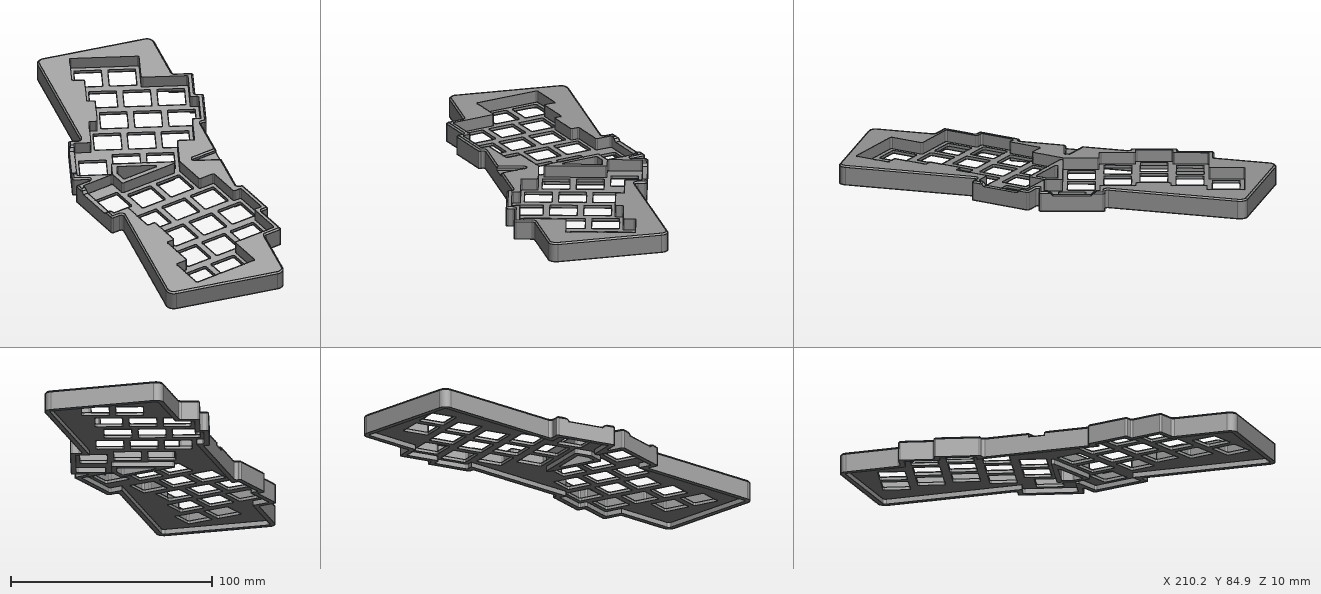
import cadquery as cq
import math

case_length = 210.15
case_rear = 33.1
case_front = -28.0
case_height = 10.0
case_corner_radius = 4.0
rim_chamfer = 0.8

half_angle = 15.0
key_pitch_u = 18.0
key_pitch_v = 17.0
thumb_key_width = 1.5 * key_pitch_u
first_column_u = 12.5
thumb_row_v = -30.5
columns = [
    (2, key_pitch_v),
    (3, 0.5 * key_pitch_v),
    (3, 0.75 * key_pitch_v),
    (3, 0.5 * key_pitch_v),
    (2, 0.125 * key_pitch_v),
]
thumb_u = first_column_u + (key_pitch_u - thumb_key_width) / 2

key_clearance = 0.3
wall = 2.5
tray_floor = 4.0
plate_thickness = 1.5
tray_corner_radius = 0.8
wall_corner_radius = 0.85
blend_radius = 1.5

switch_size = 13.8
switch_corner_radius = 0.8

window_radius = 0.8
groove_tip_radius = 0.8
groove_tip_y = 19.7
groove_depth = 2.0

dip_depth = 1.9
dip_floor_length = 19.0

overshoot = 1.0
tolerance = 0.01


def both_halves(half):
    """Turn a right-half solid into place and add its mirror image."""
    placed = half.rotate((0, 0, 0), (0, 0, 1), half_angle)
    return placed.union(placed.mirror("YZ")).clean()


def column_positions():
    """Across position, lowest key position and key count of every column."""
    positions = []
    for index, (count, lowest) in enumerate(columns):
        positions.append((first_column_u + index * key_pitch_u, thumb_row_v + lowest, count))
    return positions


def key_centres():
    centres = [(thumb_u, thumb_row_v)]
    for u, lowest_v, count in column_positions():
        for row in range(count):
            centres.append((u, lowest_v + row * key_pitch_v))
    return centres


def key_field(margin, base, height, radius):
    """Solid over the key cells, grown by a margin and rounded at its upright edges."""

    def cell(u, v, width, length):
        size = (width + 2 * margin, length + 2 * margin, height)
        return cq.Workplane("XY").box(*size, centered=(True, True, False)).translate((u, v, base))

    field = cell(thumb_u, thumb_row_v, thumb_key_width, key_pitch_v)
    for u, lowest_v, count in column_positions():
        middle_v = lowest_v + (count - 1) * key_pitch_v / 2
        field = field.union(cell(u, middle_v, key_pitch_u, count * key_pitch_v))
    return both_halves(field.clean()).edges("|Z").fillet(radius)


def case_body(inset, height, field_radius):
    """Case plate joined to the key fields, with all upright faces moved inward by an inset."""
    length = case_length - 2 * inset
    width = case_rear - case_front - 2 * inset
    plate = (
        cq.Workplane("XY")
        .box(length, width, height, centered=(True, True, False))
        .translate((0, (case_rear + case_front) / 2, 0))
        .edges("|Z")
        .fillet(case_corner_radius - inset)
    )
    return plate.union(key_field(key_clearance + wall - inset, 0, height, field_radius)).clean()


def outer_block():
    """Case body with the inside corners blended where the key fields leave the plate."""
    body = case_body(0, case_height, wall_corner_radius)
    reach = case_length / 2 - case_corner_radius - overshoot
    for y in (case_rear, case_front):
        band = cq.selectors.BoxSelector(
            (-reach, y - tolerance, -overshoot),
            (reach, y + tolerance, case_height + overshoot),
        )
        body = body.edges("|Z").edges(band).fillet(blend_radius)
    return body


def rear_groove():
    """V-shaped groove with a round tip, open at the rear edge."""
    slope = math.radians(half_angle)
    tip_side_x = groove_tip_radius * math.cos(slope)
    tip_side_y = groove_tip_y + groove_tip_radius * (1 - math.sin(slope))
    end_y = case_rear + overshoot
    end_x = tip_side_x + (end_y - tip_side_y) * math.tan(slope)
    return (
        cq.Workplane("XY", origin=(0, 0, case_height - groove_depth))
        .moveTo(-end_x, end_y)
        .lineTo(-tip_side_x, tip_side_y)
        .threePointArc((0, groove_tip_y), (tip_side_x, tip_side_y))
        .lineTo(end_x, end_y)
        .close()
        .extrude(groove_depth + overshoot)
    )


def finger_dips():
    """Sloped-end dips across the front thumb walls."""
    inner_v = thumb_row_v - key_pitch_v / 2 - key_clearance
    half_floor = dip_floor_length / 2
    half_top = half_floor + dip_depth
    half = (
        cq.Workplane("XZ", origin=(thumb_u, inner_v, case_height))
        .polyline([(-half_floor, -dip_depth), (half_floor, -dip_depth), (half_top, 0), (-half_top, 0)])
        .close()
        .extrude(wall + overshoot)
    )
    return both_halves(half)


def switch_openings():
    half = (
        cq.Workplane("XY")
        .pushPoints(key_centres())
        .rect(switch_size, switch_size)
        .extrude(case_height)
        .edges("|Z")
        .fillet(switch_corner_radius)
    )
    return both_halves(half)


def island(inset, radius):
    """Kite-shaped prism between the two halves, shrunk by an inset and rounded upright."""
    side_u = first_column_u - key_pitch_u / 2 - key_clearance - inset
    foot_v = thumb_row_v + key_pitch_v / 2 + key_clearance + inset
    angle = math.radians(half_angle)
    corner_x = side_u * math.cos(angle) - foot_v * math.sin(angle)
    corner_y = side_u * math.sin(angle) + foot_v * math.cos(angle)
    apex_y = side_u / math.sin(angle)
    foot_y = foot_v / math.cos(angle)
    return (
        cq.Workplane("XY")
        .polyline([(0, apex_y), (-corner_x, corner_y), (0, foot_y), (corner_x, corner_y)])
        .close()
        .extrude(case_height)
        .edges("|Z")
        .fillet(radius)
    )


def tray():
    return key_field(key_clearance, tray_floor, case_height, tray_corner_radius)


def underside_cavity():
    """Hollow below the switch plate that leaves the outer wall and the island standing."""
    cavity = case_body(wall, tray_floor - plate_thickness, tray_corner_radius)
    return cavity.cut(island(0, tray_corner_radius))


body = outer_block().cut(finger_dips()).cut(rear_groove())
body = body.faces(">Z").edges().chamfer(rim_chamfer)
body = body.cut(tray()).cut(underside_cavity()).cut(switch_openings())
result = body.cut(island(wall, window_radius))